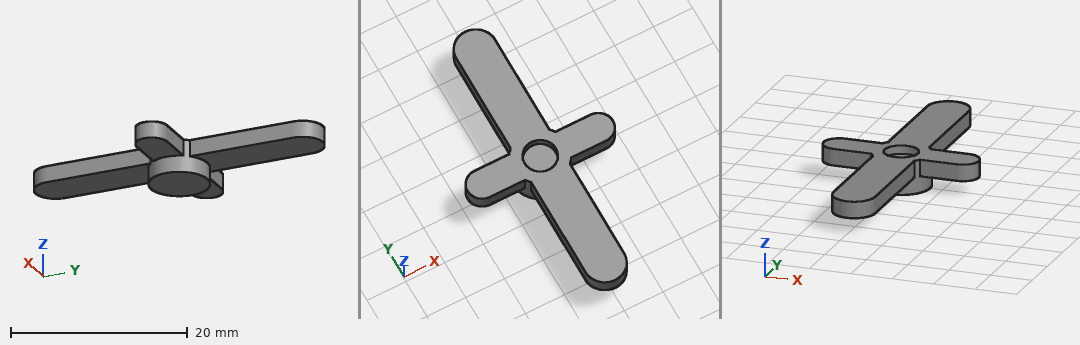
import cadquery as cq

long_arm_length = 35.7
long_arm_width = 5.0
short_arm_length = 18.7
short_arm_width = 3.75
plate_thickness = 2.0
hub_diameter = 7.0
total_height = 4.0
pocket_diameter = 4.0
pocket_depth = 1.0

plate_bottom = total_height - plate_thickness


def round_ended_arm(length, width, angle):
    """Flat bar with full-radius ends, turned by an angle from the X axis."""
    return (
        cq.Workplane("XY")
        .workplane(offset=plate_bottom)
        .slot2D(length, width, angle)
        .extrude(plate_thickness)
    )


long_arm = round_ended_arm(long_arm_length, long_arm_width, 90)
short_arm = round_ended_arm(short_arm_length, short_arm_width, 0)

hub = cq.Workplane("XY").circle(hub_diameter / 2).extrude(total_height)

pocket = (
    cq.Workplane("XY")
    .workplane(offset=total_height)
    .circle(pocket_diameter / 2)
    .extrude(-pocket_depth)
)

result = long_arm.union(short_arm).union(hub).cut(pocket)